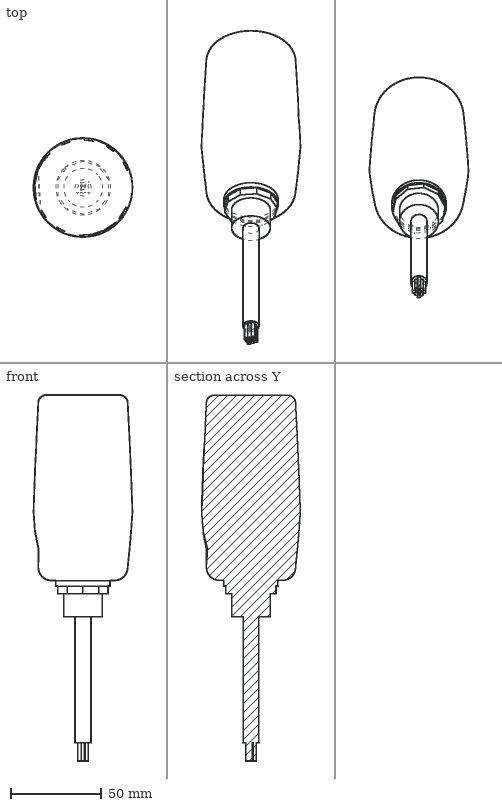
import cadquery as cq
import math

total_height = 203.0
wire_length = 10.2
gland_bottom = 80.0
nut_bottom = 92.8
collar_bottom = 97.0
body_bottom = 100.0
lower_seam = 107.4
widest_height = 138.0
upper_seam = 198.5

widest_radius = 27.5
seam_radius = 24.87
top_flat_radius = 20.0
bottom_flat_radius = 17.5
side_bulge = 0.16

collar_diameter = 30.2
nut_diameter = 29.5
nut_sides = 10
gland_diameter = 21.5
cable_diameter = 9.0
wire_diameter = 1.9
wire_spacing = 2.0
wires_per_row = 3


def cylinder(diameter, bottom, top):
    return cq.Workplane("XY").workplane(offset=bottom).circle(diameter / 2).extrude(top - bottom)


def corner_arc_middle(flat_radius, flat_height, seam_height):
    """Middle point of the rounded corner between an end face and a seam."""
    reach = math.sqrt(0.5)
    radius = flat_radius + (seam_radius - flat_radius) * reach
    height = seam_height + (flat_height - seam_height) * reach
    return radius, height


def side_arc_middle(seam_height):
    """Middle point of the bowed side between a seam and the widest section."""
    return (seam_radius + widest_radius) / 2 + side_bulge, (seam_height + widest_height) / 2


def make_body():
    half_profile = (
        cq.Workplane("XZ")
        .moveTo(0, body_bottom)
        .lineTo(bottom_flat_radius, body_bottom)
        .threePointArc(
            corner_arc_middle(bottom_flat_radius, body_bottom, lower_seam),
            (seam_radius, lower_seam),
        )
        .threePointArc(side_arc_middle(lower_seam), (widest_radius, widest_height))
        .threePointArc(side_arc_middle(upper_seam), (seam_radius, upper_seam))
        .threePointArc(
            corner_arc_middle(top_flat_radius, total_height, upper_seam),
            (top_flat_radius, total_height),
        )
        .lineTo(0, total_height)
        .close()
    )
    return half_profile.revolve(360, (0, 0, 0), (0, 1, 0))


def make_nut():
    return (
        cq.Workplane("XY")
        .workplane(offset=nut_bottom)
        .transformed(rotate=(0, 0, 90))
        .polygon(nut_sides, nut_diameter)
        .extrude(collar_bottom - nut_bottom)
    )


def make_wires():
    return (
        cq.Workplane("XY")
        .rarray(wire_spacing, wire_spacing, wires_per_row, wires_per_row)
        .circle(wire_diameter / 2)
        .extrude(wire_length)
    )


result = (
    make_body()
    .union(cylinder(collar_diameter, collar_bottom, body_bottom))
    .union(make_nut())
    .union(cylinder(gland_diameter, gland_bottom, nut_bottom))
    .union(cylinder(cable_diameter, wire_length, gland_bottom))
    .union(make_wires())
)